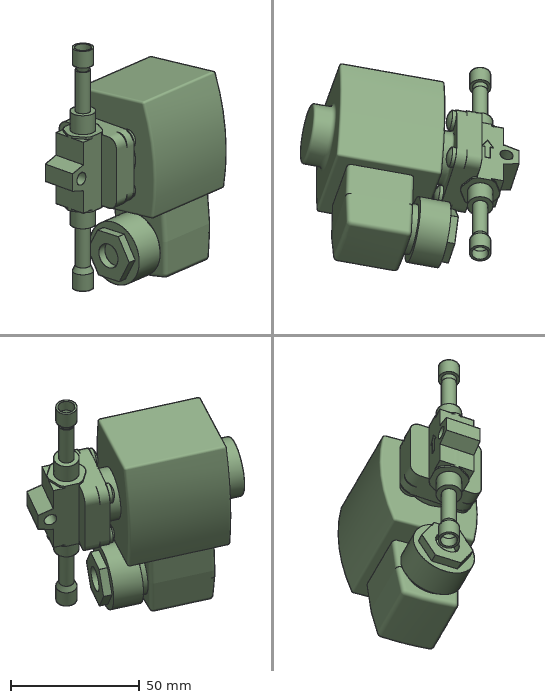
import cadquery as cq
import math


tube_diameter = 6.0
cap_diameter = 8.3
cap_bore = 6.5
neck_diameter = 4.8
neck_bore = 4.2
collar_diameter = 10.0
pipe_end = 50.9
cap_length = 7.0
cone_length = 2.4
collar_end = 24.0
tube_radius = tube_diameter / 2
cap_radius = cap_diameter / 2
cap_start = pipe_end - cap_length
tube_end = cap_start - cone_length

body_width = 14.4
hex_corner_diameter = 15.5
hex_turn = 30
hex_half_height = 16.0
block_front = -7.7
lug_front = -13.9
lug_root_height = 11.0
lug_tip_height = 7.4
lug_hole_diameter = 5.2
lug_hole_y = -8.8

arrow_y = -1.3
arrow_tip_z = 6.5
arrow_head_base_z = 2.7
arrow_tail_z = -3.4
arrow_head_half_width = 2.3
arrow_shaft_half_width = 1.0
arrow_depth = 0.1

flange_size = 30.2
flange_front = 2.8
flange_split = 8.8
flange_back = 13.0
flange_corner = 4.2
cover_corner = 5.2

screw_offset = 10.5
screw_diameter = 8.0
screw_rim_height = 1.5
screw_dome_height = 1.5

coil_tilt = 5.5
coil_width = 34.2
coil_height = 48.3
coil_side_bulge = 3.4
coil_front = 18.9
coil_back = 60.9
coil_edge_radius = 1.0
coil_neck_diameter = 21.0
coil_neck_flare = 0.8
rear_boss_diameter = 23.9
rear_boss_back = 69.4
rear_boss_edge = 1.0
rear_boss_flare = 1.8

plug_front = 28.9
plug_back = 55.7
plug_top_z = -15.8
plug_kink_z = -40.1
plug_right_kink_z = -36.4
plug_left_top = -12.0
plug_right_top = 15.4
plug_left_kink = -9.3
plug_right = 17.1
plug_left_bottom = -6.6
plug_bottom_back = 54.5
plug_taper_end_z = -56.8
plug_bottom_z = -54.3
plug_bulge_x = 5.0
plug_bulge_z = -53.6
plug_right_bottom_z = -51.4
plug_edge_radius = 1.8

gland_x = 4.0
gland_z = -39.8
gland_neck_diameter = 20.0
gland_diameter = 26.1
gland_back = 26.1
gland_front = 13.9
gland_hex_flats = 18.9
gland_hex_front = 10.4
gland_hex_turn = 1.6
gland_hole_diameter = 10.0


def plane_y(y):
    """Plane facing +Y at position y, with local axes +X and -Z."""
    return cq.Plane(origin=(0, y, 0), xDir=(1, 0, 0), normal=(0, 1, 0))


def cylinder_y(diameter, y_start, y_end, x=0, z=0):
    return cq.Workplane(plane_y(y_start)).center(x, -z).circle(diameter / 2).extrude(y_end - y_start)


def hex_prism(workplane, flats, length):
    corner_diameter = flats / math.cos(math.pi / 6)
    return workplane.polygon(6, corner_diameter).extrude(length)


def pipe_stub(flare_outline):
    """Stub along +Z, revolved from its half outline; the bore ends blind below the cap."""
    outline = [
        (0, 0),
        (collar_diameter / 2, 0),
        (collar_diameter / 2, collar_end),
        (tube_radius, collar_end),
        (tube_radius, tube_end),
        *flare_outline,
        (cap_radius, pipe_end),
        (cap_bore / 2, pipe_end),
        (cap_bore / 2, cap_start + cone_length),
        (neck_bore / 2, cap_start),
        (0, cap_start),
    ]
    return cq.Workplane("XZ").polyline(outline).close().revolve(360, (0, 0, 0), (0, 1, 0))


def upper_stub():
    """The tube narrows to a neck that opens again into the cap."""
    return pipe_stub([(neck_diameter / 2, tube_end), (tube_radius, cap_start), (cap_radius, cap_start)])


def lower_stub():
    """The tube flares straight out to the cap."""
    return pipe_stub([(cap_radius, cap_start)]).mirror("XY")


def valve_body():
    base = cq.Workplane("XY").workplane(offset=-hex_half_height)
    hexagon = hex_prism(base.transformed(rotate=(0, 0, hex_turn)), body_width, 2 * hex_half_height)
    turned_corners = base.circle(hex_corner_diameter / 2).extrude(2 * hex_half_height)
    block_length = flange_back - block_front
    block = cq.Workplane(plane_y(block_front)).rect(body_width, flange_size).extrude(block_length)
    lug_points = [
        (block_front, -lug_root_height / 2),
        (lug_front, -lug_tip_height / 2),
        (lug_front, lug_tip_height / 2),
        (block_front, lug_root_height / 2),
        (0, lug_root_height / 2),
        (0, -lug_root_height / 2),
    ]
    lug = cq.Workplane("YZ").polyline(lug_points).close().extrude(body_width / 2, both=True)
    lug_hole = (
        cq.Workplane("YZ").center(lug_hole_y, 0).circle(lug_hole_diameter / 2).extrude(body_width, both=True)
    )
    return hexagon.intersect(turned_corners).union(block).union(lug).cut(lug_hole)


def flow_arrow():
    half_arrow = [
        (arrow_shaft_half_width, arrow_tail_z),
        (arrow_shaft_half_width, arrow_head_base_z),
        (arrow_head_half_width, arrow_head_base_z),
    ]
    other_half = [(-y, z) for y, z in reversed(half_arrow)]
    points = half_arrow + [(0, arrow_tip_z)] + other_half
    face = cq.Workplane("YZ").workplane(offset=-body_width / 2).center(arrow_y, 0)
    return face.polyline(points).close().extrude(arrow_depth)


def flange_layer(y_start, y_end, corner):
    layer = cq.Workplane(plane_y(y_start)).rect(flange_size, flange_size).extrude(y_end - y_start)
    return layer.edges("|Y").fillet(corner)


def screw_head(x, z):
    rim = flange_back + screw_rim_height
    crown = rim + screw_dome_height
    radius = screw_diameter / 2
    dome_radius = (radius**2 + screw_dome_height**2) / (2 * screw_dome_height)
    mid_x = radius / 2
    mid_y = crown - dome_radius + math.sqrt(dome_radius**2 - mid_x**2)
    head = (
        cq.Workplane("XY")
        .moveTo(0, flange_back)
        .lineTo(radius, flange_back)
        .lineTo(radius, rim)
        .threePointArc((mid_x, mid_y), (0, crown))
        .close()
        .revolve(360, (0, 0, 0), (0, 1, 0))
    )
    return head.translate((x, 0, z))


def coil():
    half_width = coil_width / 2
    half_height = coil_height / 2
    case = (
        cq.Workplane(plane_y(coil_front))
        .moveTo(-half_width, -half_height)
        .lineTo(half_width, -half_height)
        .threePointArc((half_width + coil_side_bulge, 0), (half_width, half_height))
        .lineTo(-half_width, half_height)
        .threePointArc((-half_width - coil_side_bulge, 0), (-half_width, -half_height))
        .close()
        .extrude(coil_back - coil_front)
        .edges()
        .fillet(coil_edge_radius)
    )
    return case.rotate((0, 0, 0), (0, 1, 0), -coil_tilt)


def flared_post(diameter, y_start, y_end, flare):
    """Round post along +Y whose foot at y_start widens in a concave arc."""
    radius = diameter / 2
    arc_offset = flare * (1 - math.sqrt(0.5))
    return (
        cq.Workplane("XY")
        .moveTo(0, y_start)
        .lineTo(radius + flare, y_start)
        .threePointArc((radius + arc_offset, y_start + arc_offset), (radius, y_start + flare))
        .lineTo(radius, y_end)
        .lineTo(0, y_end)
        .close()
        .revolve(360, (0, 0, 0), (0, 1, 0))
    )


def coil_neck():
    return flared_post(coil_neck_diameter, flange_back, coil_front, coil_neck_flare)


def rear_boss():
    boss = flared_post(rear_boss_diameter, coil_back, rear_boss_back, rear_boss_flare)
    return boss.faces(">Y").edges().fillet(rear_boss_edge)


def plug_upper():
    """Part above the kink, running up into the coil."""
    shell = (
        cq.Workplane("XZ", origin=(0, plug_back, 0))
        .moveTo(plug_left_top, plug_top_z)
        .lineTo(plug_left_kink, plug_kink_z)
        .lineTo(plug_right, plug_kink_z)
        .lineTo(plug_right, plug_right_kink_z)
        .lineTo(plug_right_top, plug_top_z)
        .close()
        .extrude(plug_back - plug_front)
    )
    return shell.edges("not (|X or |Y)").fillet(plug_edge_radius)


def plug_lower():
    """Part below the kink, with a curved bottom and an inclined back."""
    shell = (
        cq.Workplane("XZ", origin=(0, plug_back, 0))
        .moveTo(plug_left_kink, plug_kink_z)
        .lineTo(plug_left_bottom, plug_bottom_z)
        .threePointArc((plug_bulge_x, plug_bulge_z), (plug_right, plug_right_bottom_z))
        .lineTo(plug_right, plug_kink_z)
        .close()
        .extrude(plug_back - plug_front)
    )
    back_taper = (
        cq.Workplane("YZ")
        .moveTo(plug_back, plug_kink_z)
        .lineTo(plug_bottom_back, plug_taper_end_z)
        .lineTo(plug_back, plug_taper_end_z)
        .close()
        .extrude(coil_width, both=True)
    )
    shell = shell.cut(back_taper)
    return shell.edges("not >Z").fillet(plug_edge_radius)


def cable_gland():
    neck = cylinder_y(gland_neck_diameter, gland_back, plug_front, gland_x, gland_z)
    nut = cylinder_y(gland_diameter, gland_front, gland_back, gland_x, gland_z)
    hex_plane = cq.Workplane(plane_y(gland_hex_front)).center(gland_x, -gland_z)
    hexagon = hex_prism(
        hex_plane.transformed(rotate=(0, 0, -gland_hex_turn)), gland_hex_flats, gland_front - gland_hex_front
    )
    hole = cylinder_y(gland_hole_diameter, gland_hex_front, gland_front, gland_x, gland_z)
    return neck.union(nut).union(hexagon).cut(hole)


result = valve_body().cut(flow_arrow())
result = result.union(upper_stub()).union(lower_stub())
result = result.union(flange_layer(flange_front, flange_split, flange_corner))
result = result.union(flange_layer(flange_split, flange_back, cover_corner))
result = result.union(coil_neck()).union(coil()).union(rear_boss())
for screw_x in (-screw_offset, screw_offset):
    for screw_z in (-screw_offset, screw_offset):
        result = result.union(screw_head(screw_x, screw_z))
result = result.union(plug_upper()).union(plug_lower()).union(cable_gland())